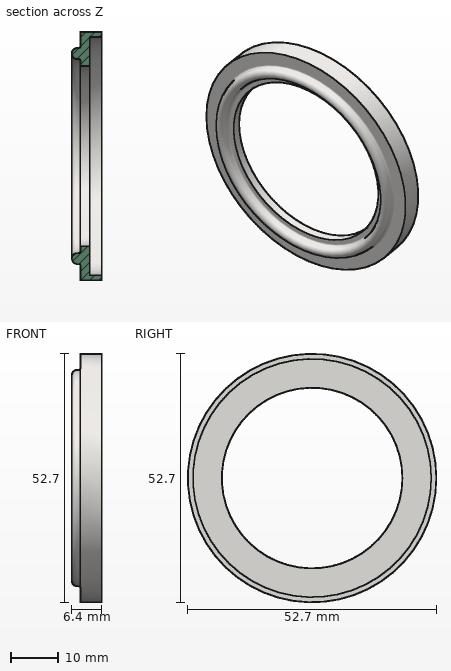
import cadquery as cq

total_length = 6.4
outer_diameter = 52.7
bore_diameter = 38.2
bead_outer_diameter = 45.9
bead_inner_diameter = 41.1
plate_thickness = 4.55
root_fillet = 0.35
lip_thickness = 2.0
recess_diameter = 50.5

plate_front = total_length - plate_thickness
outer_radius = outer_diameter / 2
bore_radius = bore_diameter / 2
recess_radius = recess_diameter / 2
bead_outer = bead_outer_diameter / 2
bead_inner = bead_inner_diameter / 2
bead_middle = (bead_outer + bead_inner) / 2
crown_radius = (bead_outer - bead_inner) / 2
recess_floor = plate_front + lip_thickness
fillet_start = plate_front - root_fillet
fillet_offset = root_fillet * (1 - 0.5 ** 0.5)

section = (
    cq.Workplane("XY")
    .moveTo(recess_floor, bore_radius)
    .lineTo(recess_floor, recess_radius)
    .lineTo(total_length, recess_radius)
    .lineTo(total_length, outer_radius)
    .lineTo(plate_front, outer_radius)
    .lineTo(plate_front, bead_outer + root_fillet)
    .threePointArc(
        (plate_front - fillet_offset, bead_outer + fillet_offset),
        (fillet_start, bead_outer),
    )
    .lineTo(crown_radius, bead_outer)
    .threePointArc((0, bead_middle), (crown_radius, bead_inner))
    .lineTo(fillet_start, bead_inner)
    .threePointArc(
        (plate_front - fillet_offset, bead_inner - fillet_offset),
        (plate_front, bead_inner - root_fillet),
    )
    .lineTo(plate_front, bore_radius)
    .close()
)

result = section.revolve(360, (0, 0, 0), (1, 0, 0))